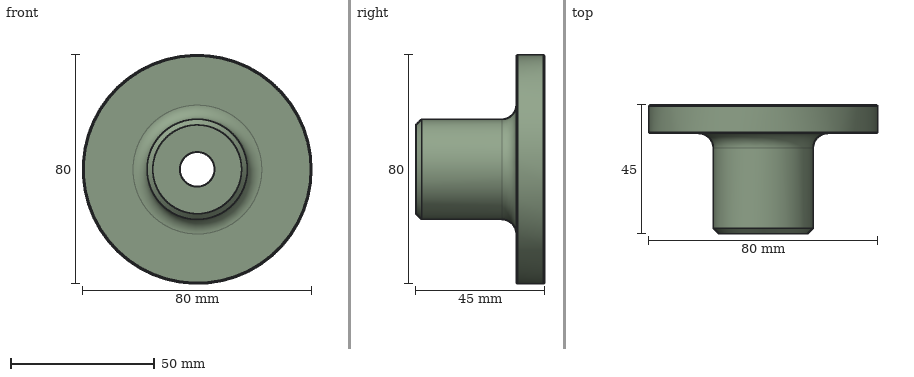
import cadquery as cq

flange_diameter = 80.0
flange_thickness = 10.0
flange_edge_chamfer = 0.5
hub_diameter = 35.0
hub_end_chamfer = 2.0
root_fillet_radius = 5.0
bore_diameter = 12.0
total_length = 45.0

hub_length = total_length - flange_thickness


def make_flange():
    """Disc with its back face on the XZ plane, extending toward -Y, both rims chamfered."""
    disc = cq.Workplane("XZ").circle(flange_diameter / 2).extrude(flange_thickness)
    return disc.faces("<Y or >Y").edges().chamfer(flange_edge_chamfer)


def add_hub(body):
    """Cylindrical hub on the front face of the flange, blended at its root."""
    hub = (
        cq.Workplane("XZ", origin=(0, -flange_thickness, 0))
        .circle(hub_diameter / 2)
        .extrude(hub_length)
        .faces("<Y")
        .edges()
        .chamfer(hub_end_chamfer)
    )
    joined = body.union(hub)
    front_face_center = (0, -flange_thickness, 0)
    front_face = joined.faces(cq.selectors.NearestToPointSelector(front_face_center))
    hub_root = front_face.edges(cq.selectors.RadiusNthSelector(0))
    return hub_root.fillet(root_fillet_radius)


def cut_bore(body):
    """Plain bore through the full length."""
    bore = cq.Workplane("XZ").circle(bore_diameter / 2).extrude(total_length)
    return body.cut(bore)


result = cut_bore(add_hub(make_flange()))